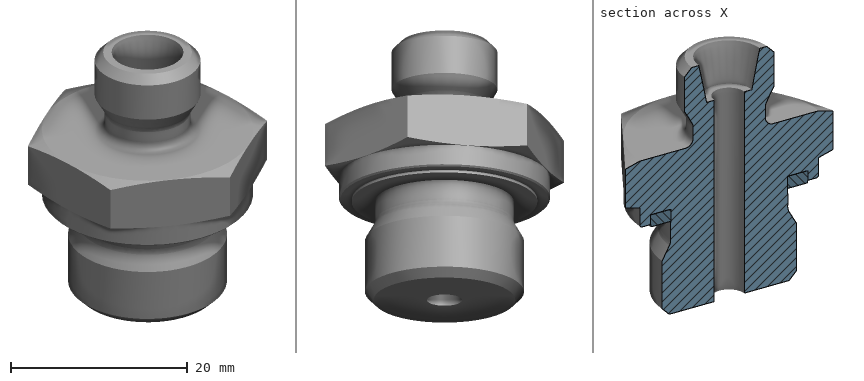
import cadquery as cq
import math

total_height = 30.5
hex_bottom = 14.52
hex_height = 5.98
hex_top = hex_bottom + hex_height

across_flats = 24.0
across_corners = across_flats / math.cos(math.radians(30))
hex_chamfer_angle = 15.0
collar_dia = 23.9
collar_bottom = 12.02
collar_chamfer = 0.18

stud_dia = 18.0
stud_relief_dia = 15.7
stud_thread_top = 7.05
stud_fillet = 1.22

tube_dia = 12.0
tube_neck_dia = 9.7
tube_thread_bottom = 25.1
neck_fillet = 1.0

end_chamfer = 0.98
runout_angle = 30.0

bore_dia = 4.0
seat_mouth_dia = 8.1
seat_floor_dia = 6.0
seat_half_angle = 12.0

seal_dia = 21.0
seal_bottom = 11.7
seal_recess_depth = 1.22


def cylinder(diameter, bottom, top):
    return cq.Workplane("XY").workplane(offset=bottom).circle(diameter / 2).extrude(top - bottom)


def revolve_profile(points):
    """Revolve a closed (radius, height) outline about the Z axis."""
    return cq.Workplane("XZ").polyline(points).close().revolve(360, (0, 0, 0), (0, 1, 0))


def runout_length(thread_dia, core_dia):
    return (thread_dia - core_dia) / 2 / math.tan(math.radians(runout_angle))


def fillet_ring_edge(body, level, radius):
    """Round the circular edges lying at one height."""
    reach = across_corners
    half_band = 0.03
    band = cq.selectors.BoxSelector(
        (-reach, -reach, level - half_band), (reach, reach, level + half_band), boundingbox=True
    )
    return body.edges(band).fillet(radius)


def make_stud():
    runout_top = stud_thread_top + runout_length(stud_dia, stud_relief_dia)
    stud = revolve_profile([
        (0, 0),
        (stud_dia / 2 - end_chamfer, 0),
        (stud_dia / 2, end_chamfer),
        (stud_dia / 2, stud_thread_top),
        (stud_relief_dia / 2, runout_top),
        (stud_relief_dia / 2, hex_bottom),
        (0, hex_bottom),
    ])
    return fillet_ring_edge(stud, runout_top, stud_fillet)


def make_tube_connection():
    runout_bottom = tube_thread_bottom - runout_length(tube_dia, tube_neck_dia)
    connection = revolve_profile([
        (0, hex_top),
        (tube_neck_dia / 2, hex_top),
        (tube_neck_dia / 2, runout_bottom),
        (tube_dia / 2, tube_thread_bottom),
        (tube_dia / 2, total_height - end_chamfer),
        (tube_dia / 2 - end_chamfer, total_height),
        (0, total_height),
    ])
    return fillet_ring_edge(connection, runout_bottom, neck_fillet)


def make_neck_flare():
    """Concave fillet between the hexagon and the tube neck."""
    neck_radius = tube_neck_dia / 2
    arc_offset = neck_fillet * (1 - math.sqrt(0.5))
    return (
        cq.Workplane("XZ")
        .moveTo(0, hex_top)
        .lineTo(neck_radius + neck_fillet, hex_top)
        .threePointArc(
            (neck_radius + arc_offset, hex_top + arc_offset), (neck_radius, hex_top + neck_fillet)
        )
        .lineTo(0, hex_top + neck_fillet)
        .close()
        .revolve(360, (0, 0, 0), (0, 1, 0))
    )


def make_hexagon():
    """Hexagon with flats facing X and conically chamfered corners."""
    prism = (
        cq.Workplane("XY")
        .workplane(offset=hex_bottom)
        .polygon(6, across_corners)
        .extrude(hex_height)
        .rotate((0, 0, 0), (0, 0, 1), 30)
    )
    corner_radius = across_corners / 2
    corner_drop = (corner_radius - collar_dia / 2) * math.tan(math.radians(hex_chamfer_angle))
    chamfer_envelope = revolve_profile([
        (0, hex_bottom),
        (collar_dia / 2, hex_bottom),
        (corner_radius, hex_bottom + corner_drop),
        (corner_radius, hex_top - corner_drop),
        (collar_dia / 2, hex_top),
        (0, hex_top),
    ])
    return prism.intersect(chamfer_envelope)


def make_collar():
    return cylinder(collar_dia, collar_bottom, hex_bottom).faces("<Z").chamfer(collar_chamfer)


def make_tube_seat():
    taper = math.tan(math.radians(seat_half_angle))
    seat_depth = (seat_mouth_dia - seat_floor_dia) / 2 / taper
    return revolve_profile([
        (0, total_height - seat_depth),
        (seat_floor_dia / 2, total_height - seat_depth),
        (seat_mouth_dia / 2, total_height),
        (0, total_height),
    ])


def make_seal_ring():
    """Ring seated in the collar recess, standing slightly proud below it."""
    recess_top = collar_bottom + seal_recess_depth
    outer = cylinder(seal_dia, seal_bottom, recess_top)
    return outer.cut(cylinder(stud_relief_dia, seal_bottom, recess_top))


def make_fitting(seal_ring):
    return (
        make_hexagon()
        .union(make_collar())
        .union(make_stud())
        .union(make_tube_connection())
        .union(make_neck_flare())
        .cut(cylinder(bore_dia, 0, total_height))
        .cut(make_tube_seat())
        .cut(seal_ring)
    )


seal_ring = make_seal_ring()
fitting = make_fitting(seal_ring)

result = cq.Compound.makeCompound([fitting.solids().val(), seal_ring.solids().val()])